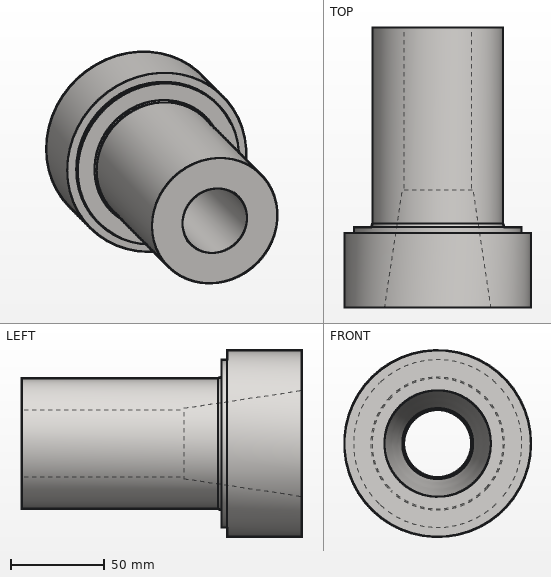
import cadquery as cq

total_length = 150.0
head_diameter = 100.0
head_length = 40.0
shoulder_diameter = 90.0
shoulder_length = 3.0
body_diameter = 70.0
root_diameter = 71.4
root_length = 2.0

mouth_diameter = 57.0
mouth_taper_end_diameter = 48.6
mouth_taper_end = 27.8
throat_diameter = 41.7
throat_start = 50.5
taper_end_diameter = 38.0
taper_end = 63.0
bore_diameter = 36.0

shoulder_end = head_length + shoulder_length
root_end = shoulder_end + root_length


def make_outside():
    """Stepped head and body with a short tapered root between them."""
    profile = (
        cq.Workplane("XY")
        .lineTo(head_diameter / 2, 0)
        .lineTo(head_diameter / 2, head_length)
        .lineTo(shoulder_diameter / 2, head_length)
        .lineTo(shoulder_diameter / 2, shoulder_end)
        .lineTo(root_diameter / 2, shoulder_end)
        .lineTo(body_diameter / 2, root_end)
        .lineTo(body_diameter / 2, total_length)
        .lineTo(0, total_length)
        .close()
    )
    return profile.revolve(360, (0, 0), (0, 1))


def make_passage():
    """Tapered sections ending at a small step down to the rear bore."""
    profile = (
        cq.Workplane("XY")
        .lineTo(mouth_diameter / 2, 0)
        .lineTo(mouth_taper_end_diameter / 2, mouth_taper_end)
        .lineTo(throat_diameter / 2, throat_start)
        .lineTo(taper_end_diameter / 2, taper_end)
        .lineTo(bore_diameter / 2, taper_end)
        .lineTo(bore_diameter / 2, total_length)
        .lineTo(0, total_length)
        .close()
    )
    return profile.revolve(360, (0, 0), (0, 1))


result = make_outside().cut(make_passage())